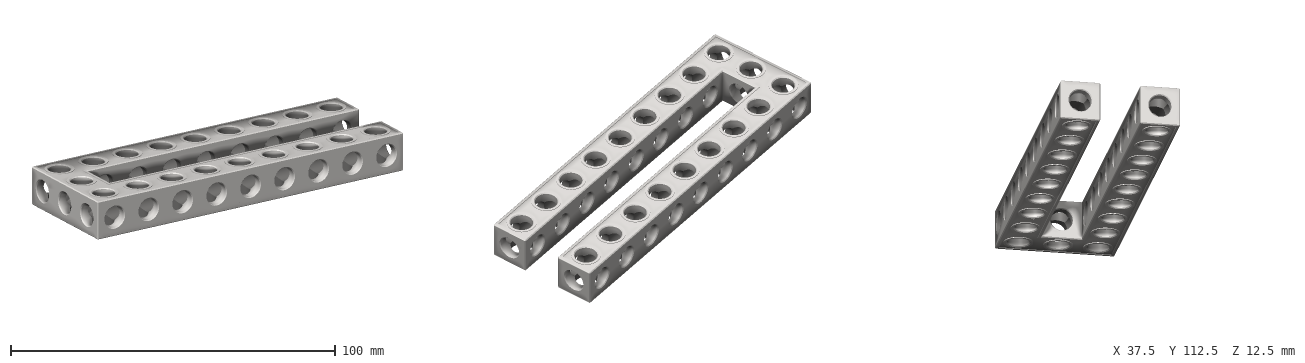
import cadquery as cq

pitch = 12.5
columns = 3
rows = 9
hole_diameter = 7.0
rim_width = 1.1
relief_depth = 0.2
chamfer_size = 0.3

width = columns * pitch
length = rows * pitch
thickness = pitch
slot_length = length - pitch
slot_floor_y = length / 2 - slot_length

collar_diameter = hole_diameter + 2 * rim_width

column_positions = [(column - (columns - 1) / 2) * pitch for column in range(columns)]
row_positions = [(row - (rows - 1) / 2) * pitch for row in range(rows)]
bar_positions = [column_positions[0], column_positions[-1]]
base_y = row_positions[0]
vertical_hole_points = [(x, y) for x in bar_positions for y in row_positions] + [(0, base_y)]


def fork(inset, height):
    """U-shaped plate open toward +Y, with its outline moved inward by inset."""
    plate = cq.Workplane("XY").box(width - 2 * inset, length - 2 * inset, height)
    slot = (
        cq.Workplane("XY")
        .box(pitch + 2 * inset, slot_length + inset, height)
        .translate((0, (length - slot_length - inset) / 2, 0))
    )
    return plate.cut(slot)


def chamfered_fork():
    """Full-size fork with every edge chamfered except the two concave slot corners."""
    slot_corners = cq.selectors.BoxSelector(
        (-pitch, slot_floor_y - chamfer_size, -chamfer_size),
        (pitch, slot_floor_y + chamfer_size, chamfer_size),
    )
    convex_edges = cq.selectors.InverseSelector(slot_corners)
    return fork(0, thickness).edges(convex_edges).chamfer(chamfer_size)


def surface_relief():
    """Shallow panel inside the edge rim that leaves a collar around every hole."""
    collars = (
        cq.Workplane("XY")
        .workplane(offset=-relief_depth / 2)
        .pushPoints(vertical_hole_points)
        .circle(collar_diameter / 2)
        .extrude(relief_depth)
    )
    return fork(rim_width, relief_depth).cut(collars)


def cut_reliefs(body):
    """Sink the relief into the top and bottom faces."""
    relief = surface_relief()
    relief_z = (thickness - relief_depth) / 2
    for z in (-relief_z, relief_z):
        body = body.cut(relief.translate((0, 0, z)))
    return body


def drill(body, start, direction, span):
    """Cut a through hole of the given span with a chamfered mouth at both ends."""
    radius = hole_diameter / 2
    mouth_radius = radius + chamfer_size
    profile = [
        (0, 0),
        (mouth_radius, 0),
        (radius, chamfer_size),
        (radius, span - chamfer_size),
        (mouth_radius, span),
        (0, span),
    ]
    cutter = cq.Workplane("XZ").polyline(profile).close().revolve(360, (0, 0), (0, 1))
    placement = cq.Location(cq.Plane(origin=start, normal=direction))
    return body.cut(cq.Workplane(cutter.val().moved(placement)))


def drill_along_z(body):
    """Holes from the bottom face to the top face."""
    for x, y in vertical_hole_points:
        body = drill(body, (x, y, -thickness / 2), (0, 0, 1), thickness)
    return body


def drill_along_y(body):
    """One long hole down each bar and a short one through the base into the slot."""
    for x in bar_positions:
        body = drill(body, (x, -length / 2, 0), (0, 1, 0), length)
    return drill(body, (0, -length / 2, 0), (0, 1, 0), pitch)


def drill_along_x(body):
    """One hole across the whole base and one across each bar at every remaining row."""
    body = drill(body, (-width / 2, base_y, 0), (1, 0, 0), width)
    for y in row_positions[1:]:
        for x in bar_positions:
            body = drill(body, (x - pitch / 2, y, 0), (1, 0, 0), pitch)
    return body


result = cut_reliefs(chamfered_fork())
result = drill_along_z(result)
result = drill_along_y(result)
result = drill_along_x(result)